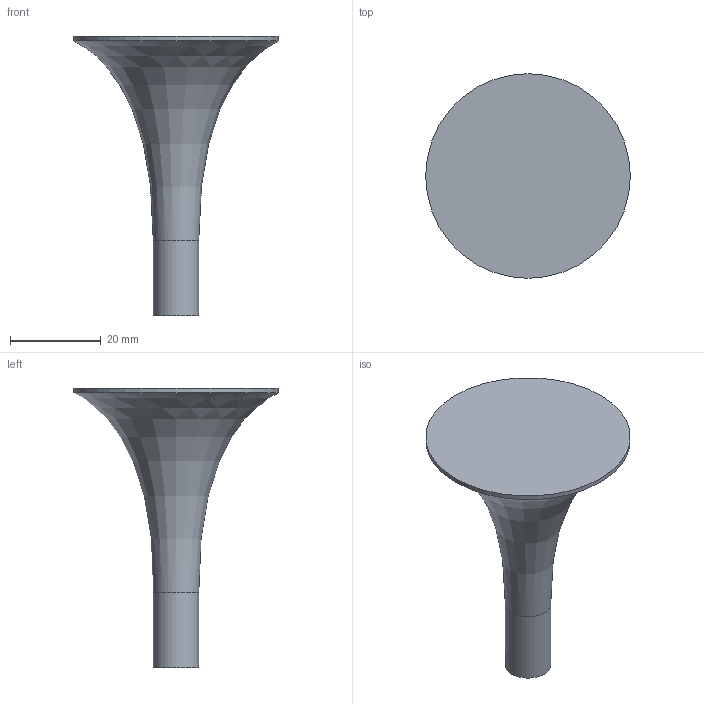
import cadquery as cq

total_height = 61.4
stem_diameter = 10.0
stem_length = 16.5
disc_diameter = 45.0
disc_thickness = 1.0

flare_straight_reach = 21.2
flare_throat_radius = 10.0
flare_throat_height = 37.2

stem_radius = stem_diameter / 2
disc_radius = disc_diameter / 2
disc_bottom = total_height - disc_thickness


def make_stem():
    """Plain round stem standing on the XY plane."""
    return cq.Workplane("XY").circle(stem_radius).extrude(stem_length)


def make_flare():
    """Trumpet-shaped solid, tangent to the stem and opening out to the disc rim."""
    flare_curve = [
        (stem_radius, stem_length),
        (stem_radius, stem_length + flare_straight_reach),
        (flare_throat_radius, stem_length + flare_throat_height),
        (disc_radius, disc_bottom),
    ]
    return (
        cq.Workplane("XZ")
        .moveTo(0, stem_length)
        .lineTo(stem_radius, stem_length)
        .bezier(flare_curve)
        .lineTo(0, disc_bottom)
        .close()
        .revolve(360, (0, 0, 0), (0, 1, 0))
    )


def make_disc():
    """Thin flat disc closing the wide end of the flare."""
    return cq.Workplane("XY").workplane(offset=disc_bottom).circle(disc_radius).extrude(disc_thickness)


result = make_stem().union(make_flare()).union(make_disc())